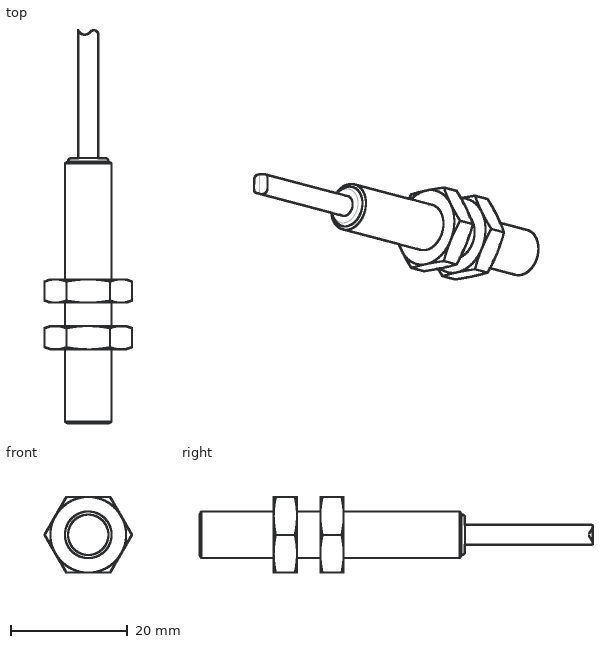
import cadquery as cq
import math

barrel_diameter = 8.0
housing_length = 45.5
end_diameter = 6.92
end_bevel_length = 0.3

collar_length = 0.6
collar_rounding = 0.5

cable_diameter = 3.5
overall_length = 67.43
cable_socket_depth = 2.0
valley_x = -0.65
valley_depth = 0.75
crest_radius = 0.8
crossover_x = 0.3

nut_across_flats = 13.0
nut_thickness = 4.0
nut_bevel_angle = 20.0
nut_face_diameter = 13.0
nut_starts = (12.7, 20.7)

barrel_radius = barrel_diameter / 2
end_radius = end_diameter / 2
collar_face_radius = end_radius - collar_rounding
cable_radius = cable_diameter / 2
barrel_length = housing_length - collar_length
cable_start = housing_length - cable_socket_depth


def cylinder(diameter, start, length):
    """Cylinder along +Y that begins at Y = start."""
    plane = cq.Workplane("XZ", origin=(0, start, 0))
    return plane.circle(diameter / 2).extrude(-length)


def hexagon(across_corners, start, length):
    """Hexagonal prism along +Y with corners on the X axis and flats facing +Z and -Z."""
    plane = cq.Workplane("XZ", origin=(0, start, 0))
    return plane.polygon(6, across_corners).extrude(-length)


def revolve_about_y(points):
    """Solid of revolution from (radius, Y) points."""
    return cq.Workplane("XY").polyline(points).close().revolve(360, (0, 0, 0), (0, 1, 0))


def make_housing():
    half_profile = (
        cq.Workplane("XY")
        .lineTo(end_radius, 0)
        .lineTo(barrel_radius, end_bevel_length)
        .lineTo(barrel_radius, barrel_length - end_bevel_length)
        .lineTo(end_radius, barrel_length)
        .lineTo(end_radius, housing_length - collar_rounding)
        .radiusArc((collar_face_radius, housing_length), -collar_rounding)
        .lineTo(0, housing_length)
        .close()
    )
    body = half_profile.revolve(360, (0, 0, 0), (0, 1, 0))
    socket = cylinder(cable_diameter, cable_start, cable_socket_depth)
    return body.cut(socket)


def make_cable():
    """Cable whose far end follows a wave across X and runs straight through along Z."""
    crest_x = cable_radius - crest_radius
    crest_centre_y = overall_length - crest_radius
    crossover_y = crest_centre_y + math.sqrt(crest_radius**2 - (crest_x - crossover_x) ** 2)
    wavy_block = (
        cq.Workplane("XY", origin=(0, 0, -cable_radius))
        .moveTo(-cable_radius, cable_start)
        .lineTo(-cable_radius, overall_length)
        .threePointArc((valley_x, overall_length - valley_depth), (crossover_x, crossover_y))
        .threePointArc((crest_x, overall_length), (cable_radius, crest_centre_y))
        .lineTo(cable_radius, cable_start)
        .close()
        .extrude(cable_diameter)
    )
    return wavy_block.intersect(cylinder(cable_diameter, cable_start, overall_length - cable_start))


def make_nut(start):
    across_corners = nut_across_flats / math.cos(math.pi / 6)
    corner_radius = across_corners / 2
    nut_face_radius = nut_face_diameter / 2
    bevel = (corner_radius - nut_face_radius) * math.tan(math.radians(nut_bevel_angle))
    end = start + nut_thickness
    envelope = revolve_about_y([
        (0, start),
        (nut_face_radius, start),
        (corner_radius, start + bevel),
        (corner_radius, end - bevel),
        (nut_face_radius, end),
        (0, end),
    ])
    bore = cylinder(barrel_diameter, start, nut_thickness)
    return hexagon(across_corners, start, nut_thickness).intersect(envelope).cut(bore)


housing = make_housing()
cable = make_cable()
nuts = [make_nut(start) for start in nut_starts]

result = cq.Compound.makeCompound([housing.val(), cable.val(), *[nut.val() for nut in nuts]])